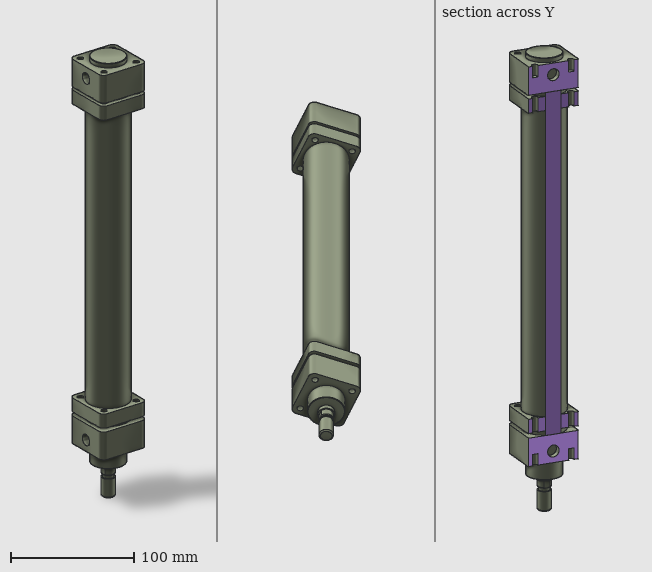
import cadquery as cq

TOTAL_LENGTH = 394.0
NOSE_BOTTOM = 30.7
FRONT_CAP_BOTTOM = 45.7
CAP_HEIGHT = 25.0
FLANGE_HEIGHT = 12.5
FRONT_GAP = 3.5
REAR_GAP = 2.8
REAR_BOSS_HEIGHT = 4.0

FRONT_CAP_TOP = FRONT_CAP_BOTTOM + CAP_HEIGHT
FRONT_FLANGE_BOTTOM = FRONT_CAP_TOP + FRONT_GAP
REAR_CAP_TOP = TOTAL_LENGTH - REAR_BOSS_HEIGHT
REAR_CAP_BOTTOM = REAR_CAP_TOP - CAP_HEIGHT
REAR_FLANGE_BOTTOM = REAR_CAP_BOTTOM - REAR_GAP - FLANGE_HEIGHT

SIDE = 45.0
CORNER_RADIUS = 5.0
BOLT_SPACING = 32.5
BOLT_HOLE_DIAMETER = 5.0
BOLT_HOLE_DEPTH = 10.0

TUBE_DIAMETER = 37.5
BOSS_DIAMETER = 30.5
BOSS_CHAMFER = 0.5

PORT_DIAMETER = 10.0
PORT_DEPTH = 10.0
PORT_INSET = 10.2

COLLAR_DIAMETER = 13.8
SHANK_DIAMETER = 12.0
GROOVE_DIAMETER = 9.5
THREAD_LENGTH = 17.5
GROOVE_TOP = 20.0
FLATS_TOP = 26.8
NECK_CHAMFER = 0.8
ACROSS_FLATS = 10.5
TIP_CHAMFER = 1.0


def cylinder(diameter, bottom, top):
    """Upright cylinder on the Z axis."""
    return cq.Workplane("XY").workplane(offset=bottom).circle(diameter / 2).extrude(top - bottom)


def square_block(bottom, height):
    """Square block with rounded upright edges."""
    block = cq.Workplane("XY").workplane(offset=bottom).rect(SIDE, SIDE).extrude(height)
    return block.edges("|Z").fillet(CORNER_RADIUS)


def bolt_holes(bottom, height):
    """Four cylinders at the corners, to be cut as bolt holes."""
    plane = cq.Workplane("XY").workplane(offset=bottom)
    corners = plane.rect(BOLT_SPACING, BOLT_SPACING, forConstruction=True)
    return corners.vertices().circle(BOLT_HOLE_DIAMETER / 2).extrude(height)


def port(height):
    """Blind round port running from the -Y side towards the axis."""
    plane = cq.Workplane("XZ", origin=(0, -SIDE / 2, height))
    return plane.circle(PORT_DIAMETER / 2).extrude(-PORT_DEPTH)


def make_front_cap():
    """Rod-end cap with its nose; the rod meets the end of the nose."""
    nose = cylinder(BOSS_DIAMETER, NOSE_BOTTOM, FRONT_CAP_BOTTOM).faces("<Z").chamfer(BOSS_CHAMFER)
    cap = square_block(FRONT_CAP_BOTTOM, CAP_HEIGHT).union(nose)
    cap = cap.cut(bolt_holes(FRONT_CAP_BOTTOM, BOLT_HOLE_DEPTH))
    return cap.cut(port(FRONT_CAP_BOTTOM + PORT_INSET))


def make_rear_cap():
    """Closed-end cap with a low round boss."""
    boss = cylinder(BOSS_DIAMETER, REAR_CAP_TOP, TOTAL_LENGTH).faces(">Z").chamfer(BOSS_CHAMFER)
    cap = square_block(REAR_CAP_BOTTOM, CAP_HEIGHT).union(boss)
    cap = cap.cut(bolt_holes(REAR_CAP_TOP - BOLT_HOLE_DEPTH, BOLT_HOLE_DEPTH))
    return cap.cut(port(REAR_CAP_TOP - PORT_INSET))


def make_flange(bottom):
    """Square flange fitted around the tube, with bolt holes through it."""
    bore = cylinder(TUBE_DIAMETER, bottom, bottom + FLANGE_HEIGHT)
    return square_block(bottom, FLANGE_HEIGHT).cut(bore).cut(bolt_holes(bottom, FLANGE_HEIGHT))


def make_tube():
    """Barrel reaching from one cap to the other."""
    return cylinder(TUBE_DIAMETER, FRONT_CAP_TOP, REAR_CAP_BOTTOM)


def make_rod():
    """Projecting rod end: collar, wrench flats, relief groove and thread."""
    thread = cylinder(SHANK_DIAMETER, 0, THREAD_LENGTH).faces("<Z").chamfer(TIP_CHAMFER)
    groove = cylinder(GROOVE_DIAMETER, THREAD_LENGTH, GROOVE_TOP)
    neck_base = cq.Workplane("XY").workplane(offset=GROOVE_TOP)
    flat_sides = neck_base.rect(SHANK_DIAMETER, ACROSS_FLATS).extrude(FLATS_TOP - GROOVE_TOP)
    round_neck = cylinder(SHANK_DIAMETER, GROOVE_TOP, FLATS_TOP).faces("<Z").chamfer(NECK_CHAMFER)
    neck = round_neck.intersect(flat_sides)
    collar = cylinder(COLLAR_DIAMETER, FLATS_TOP, NOSE_BOTTOM)
    return thread.union(groove).union(neck).union(collar)


front_cap = make_front_cap()
rear_cap = make_rear_cap()
tube = make_tube()
rod = make_rod()
flanges = [make_flange(bottom) for bottom in (FRONT_FLANGE_BOTTOM, REAR_FLANGE_BOTTOM)]

result = cq.Compound.makeCompound(
    [front_cap.val(), rear_cap.val(), tube.val(), rod.val(), *[flange.val() for flange in flanges]]
)